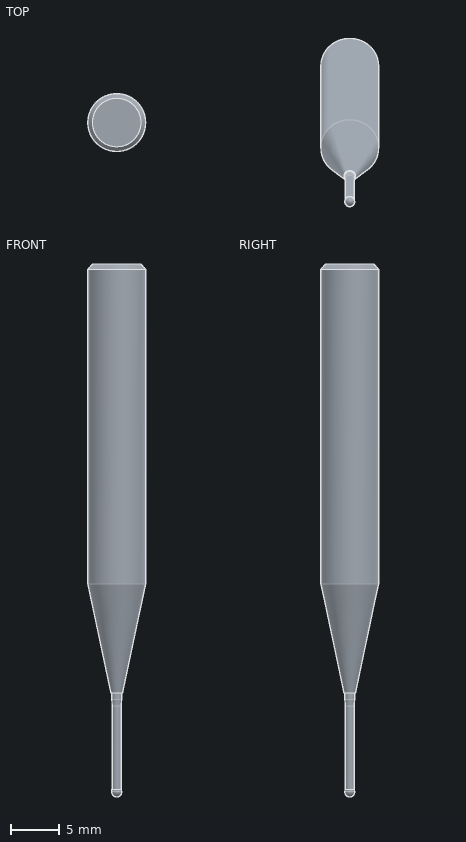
import cadquery as cq
import math

total_length = 55.0

shank_diameter = 6.0
shank_chamfer_width = 0.5
shank_chamfer_height = 0.55
nose_top_z = 22.0
nose_end_diameter = 1.2
joint_z = 10.7

ball_diameter = 1.05
collar_diameter = ball_diameter
neck_diameter = 0.95
collar_length = 0.65
shoulder_length = 0.65
ball_height = 0.6
head_land_length = 0.15

shank_radius = shank_diameter / 2
nose_end_radius = nose_end_diameter / 2
collar_radius = collar_diameter / 2
neck_radius = neck_diameter / 2
ball_radius = ball_diameter / 2
collar_bottom_z = joint_z - collar_length
neck_top_z = collar_bottom_z - shoulder_length
land_radius = math.sqrt(ball_radius**2 - (ball_height - ball_radius) ** 2)
head_top_z = ball_height + head_land_length


def revolve_about_z(profile):
    """Turn a closed half profile (radius, z) into a round solid on the Z axis."""
    return profile.revolve(360, (0, 0, 0), (0, 1, 0))


def make_shank():
    """Shank with a chamfered top, narrowing to slightly more than the collar at the joint."""
    profile = (
        cq.Workplane("XZ")
        .moveTo(0, joint_z)
        .lineTo(nose_end_radius, joint_z)
        .lineTo(shank_radius, nose_top_z)
        .lineTo(shank_radius, total_length - shank_chamfer_height)
        .lineTo(shank_radius - shank_chamfer_width, total_length)
        .lineTo(0, total_length)
        .close()
    )
    return revolve_about_z(profile)


def make_cutting_tip():
    """Tip hanging below the joint, ending in a ball that touches z = 0."""
    profile = (
        cq.Workplane("XZ")
        .moveTo(0, 0)
        .threePointArc((ball_radius, ball_radius), (land_radius, ball_height))
        .lineTo(land_radius, head_top_z)
        .lineTo(neck_radius, head_top_z)
        .lineTo(neck_radius, neck_top_z)
        .lineTo(collar_radius, collar_bottom_z)
        .lineTo(collar_radius, joint_z)
        .lineTo(0, joint_z)
        .close()
    )
    return revolve_about_z(profile)


shank = make_shank()
cutting_tip = make_cutting_tip()

result = cq.Compound.makeCompound([shank.val(), cutting_tip.val()])